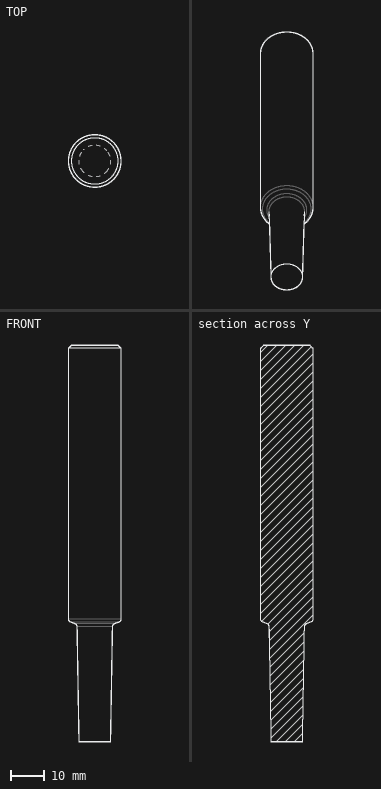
import cadquery as cq
import math

total_length = 120.0
shank_radius = 16.0 / 2
neck_length = 35.5
neck_top_radius = 5.4
neck_end_radius = 4.8
shoulder_angle = 20.0
top_chamfer = 1.0
shoulder_round = 1.0
neck_fillet = 1.0

shoulder_width = shank_radius - neck_top_radius
shank_bottom = neck_length + shoulder_width * math.tan(math.radians(shoulder_angle))

body = (
    cq.Workplane("XZ")
    .lineTo(neck_end_radius, 0)
    .lineTo(neck_top_radius, neck_length)
    .lineTo(shank_radius, shank_bottom)
    .lineTo(shank_radius, total_length)
    .lineTo(0, total_length)
    .close()
    .revolve(360, (0, 0), (0, 1))
)


def blend_circle(part, height, radius):
    """Fillet the circular edge whose plane lies at the given height."""
    margin = 0.1
    reach = 2 * shank_radius
    low_corner = (-reach, -reach, height - margin)
    high_corner = (reach, reach, height + margin)
    circle = cq.selectors.BoxSelector(low_corner, high_corner)
    return part.edges("%CIRCLE").edges(circle).fillet(radius)


body = blend_circle(body, shank_bottom, shoulder_round)
body = blend_circle(body, neck_length, neck_fillet)

result = body.faces(">Z").edges().chamfer(top_chamfer)